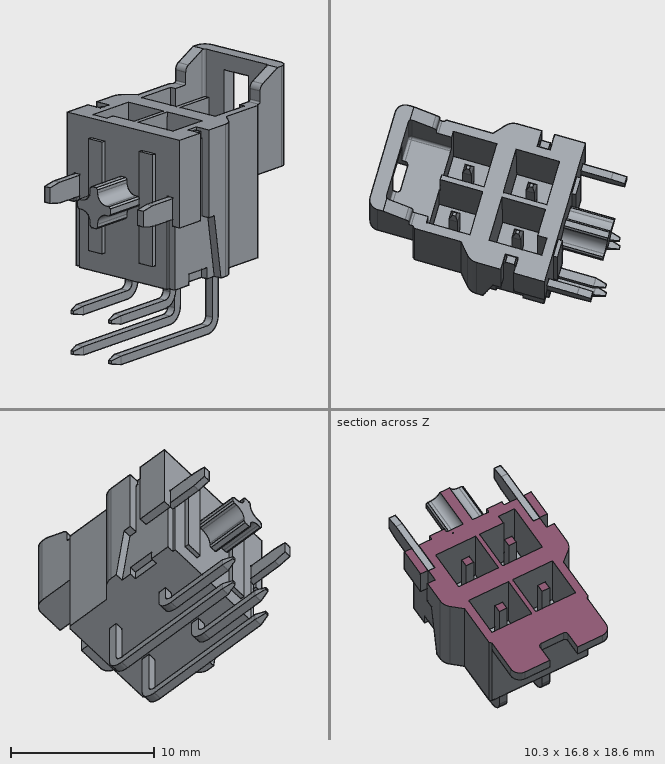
import cadquery as cq


BODY_HEIGHT = 11.16
BODY_DEPTH = 9.95
FRONT_WIDTH = 10.3
FRONT_HALF_WIDTH = FRONT_WIDTH / 2
REAR_HALF_WIDTH = 4.02
SHOULDER_FRONT = 5.42
SHOULDER_REAR = 6.4
SHOULDER_RADIUS = 1.02

LATCH_HALF_WIDTH = 3.88
LATCH_BACK = 13.28
LATCH_BOTTOM = 6.02
LATCH_TOP = 13.35
LATCH_CORNER_RADIUS = 0.75
LATCH_FLAT_FRONT = 12.13
LATCH_SIDE_FRONT = 10.23
LATCH_SIDE_TOP = 12.4
LATCH_SIDE_RADIUS = 0.52
LATCH_FOOT_RADIUS = 0.15
POCKET_HALF_WIDTH = 2.95
POCKET_FRONT = 9.04
POCKET_BACK = 12.2
POCKET_FLOOR = 7.28
POCKET_RADIUS = 0.22
WINDOW_HALF_WIDTH = 1.12
WINDOW_FRONT = 11.72
WINDOW_TOP = 12.17
WINDOW_RADIUS = 0.22

CAVITY_INNER = 0.177
CAVITY_WIDTH = 3.2
CAVITY_DEPTH = 3.17
CAVITY_FLOOR = 2.24
FRONT_ROW_Y = 1.38
REAR_ROW_Y = 5.95
FRONT_ROW_LEAN = 0.05
KEY_WIDTH = 1.27
KEY_DEPTH = 0.67

PIN_SIZE = 0.63
PIN_TIP_SIZE = 0.25
PIN_TAPER = 0.82
PIN_X = 1.73
PIN_TIP_Y = -3.48
PIN_TOP = 8.38
PIN_BEND_RADIUS = 0.5
PIN_ROWS = ((2.95, -2.0), (7.55, -4.95))

CLIP_INNER = 4.0
CLIP_THICKNESS = 0.52
CLIP_FRONT = 0.22
RECESS_TOP = 4.73
RECESS_BACK_TOP = 3.76
RECESS_BACK_BASE = 4.49
SLOT_FRONT = 2.25
SLOT_BACK = 3.19
CLIP_SHOULDER = 10.53
CLIP_SHOULDER_DROP = 0.11
CLIP_TOP = 10.97
CLIP_TIP_INSET = 0.13
TAIL_BOTTOM = 5.24
TAIL_TOP = 6.76
TAIL_END = -3.19
TAIL_TAPER_LENGTH = 0.99
TAIL_TOP_TAPER = 0.17
TAIL_BOTTOM_TAPER = 0.2
SLIT_CLEARANCE = 0.07
CLIP_NOTCH_FRONT = 1.75
CLIP_NOTCH_BACK = 3.7
CLIP_NOTCH_HEIGHT = 0.82

RIB_INNER = 1.7
RIB_WIDTH = 1.25
RIB_BASE = 1.53
RIB_HEIGHT = 8.2
RIB_DEPTH = 0.3
POST_Z = 5.95
POST_LENGTH = 3.19
POST_REACH = 1.5
POST_ARM_WIDTH = 0.69
POST_RADIUS = 0.8
POST_TIP_CHAMFER = 0.13


def block(x_range, y_range, z_range):
    """Box between two limits along each axis."""
    sizes = [end - start for start, end in (x_range, y_range, z_range)]
    corner = (x_range[0], y_range[0], z_range[0])
    return cq.Workplane("XY").box(*sizes, centered=False).translate(corner)


def side_profile(points, x_start, thickness):
    """Plate cut to a (Y, Z) outline, running from x_start toward +X."""
    return cq.Workplane("YZ").workplane(offset=x_start).polyline(points).close().extrude(thickness)


def both_sides(shape):
    """The shape together with its mirror image across the centre plane."""
    return shape.union(shape.mirror("YZ"))


def housing():
    rear_chamfer = REAR_HALF_WIDTH - LATCH_HALF_WIDTH
    half_outline = [
        (0, 0),
        (FRONT_HALF_WIDTH, 0),
        (FRONT_HALF_WIDTH, SHOULDER_FRONT),
        (REAR_HALF_WIDTH, SHOULDER_REAR),
        (REAR_HALF_WIDTH, BODY_DEPTH - rear_chamfer),
        (LATCH_HALF_WIDTH, BODY_DEPTH),
        (0, BODY_DEPTH),
    ]
    half = cq.Workplane("XY").polyline(half_outline).close().extrude(BODY_HEIGHT)
    shoulder = cq.selectors.NearestToPointSelector((FRONT_HALF_WIDTH, SHOULDER_FRONT, BODY_HEIGHT / 2))
    return both_sides(half.edges(shoulder).fillet(SHOULDER_RADIUS))


def latch_frame():
    outline = [
        (POCKET_FRONT, LATCH_BOTTOM),
        (LATCH_BACK, LATCH_BOTTOM),
        (LATCH_BACK, LATCH_TOP),
        (LATCH_FLAT_FRONT, LATCH_TOP),
        (LATCH_SIDE_FRONT, LATCH_SIDE_TOP),
        (LATCH_SIDE_FRONT, BODY_HEIGHT),
        (POCKET_FRONT, BODY_HEIGHT),
    ]
    frame = side_profile(outline, -LATCH_HALF_WIDTH, 2 * LATCH_HALF_WIDTH)
    side_edge = cq.selectors.NearestToPointSelector((0, LATCH_SIDE_FRONT, LATCH_SIDE_TOP))
    foot_edge = cq.selectors.NearestToPointSelector((0, LATCH_SIDE_FRONT, BODY_HEIGHT))
    frame = frame.edges(side_edge).fillet(LATCH_SIDE_RADIUS)
    frame = frame.edges(foot_edge).fillet(LATCH_FOOT_RADIUS)
    return frame.edges("|Z and >Y").fillet(LATCH_CORNER_RADIUS)


def latch_pocket():
    pocket = block(
        (-POCKET_HALF_WIDTH, POCKET_HALF_WIDTH),
        (POCKET_FRONT, POCKET_BACK),
        (POCKET_FLOOR, LATCH_TOP),
    )
    pocket = pocket.edges("(|Z and >Y) or (|X and >Y and <Z) or (|Y and <Z)").fillet(POCKET_RADIUS)
    window = block(
        (-WINDOW_HALF_WIDTH, WINDOW_HALF_WIDTH),
        (WINDOW_FRONT, LATCH_BACK),
        (LATCH_BOTTOM, WINDOW_TOP),
    )
    return pocket.union(window.edges("|Z and <Y").fillet(WINDOW_RADIUS))


def cavity_row(front, rear_lean):
    """Pair of blind cavities; the rear wall leans outward by rear_lean from floor to mouth."""
    rear = front + CAVITY_DEPTH
    outline = [
        (front, CAVITY_FLOOR),
        (rear - rear_lean, CAVITY_FLOOR),
        (rear, BODY_HEIGHT),
        (front, BODY_HEIGHT),
    ]
    return both_sides(side_profile(outline, CAVITY_INNER, CAVITY_WIDTH))


def cavities():
    key_left = -CAVITY_INNER - CAVITY_WIDTH
    key = block(
        (key_left, key_left + KEY_WIDTH),
        (FRONT_ROW_Y - KEY_DEPTH, FRONT_ROW_Y),
        (CAVITY_FLOOR, BODY_HEIGHT),
    )
    return cavity_row(FRONT_ROW_Y, FRONT_ROW_LEAN).union(key).union(cavity_row(REAR_ROW_Y, 0))


def pin_point(direction, start):
    """Tapered end of a pin, growing from the start point along the given direction."""
    return (
        cq.Workplane(cq.Plane(start, normal=direction, xDir=(1, 0, 0)))
        .rect(PIN_SIZE, PIN_SIZE)
        .workplane(offset=PIN_TAPER)
        .rect(PIN_TIP_SIZE, PIN_TIP_SIZE)
        .loft()
    )


def pin(leg_y, tail_z):
    """Right-angle pin on the centre plane: upright leg in the cavity, tail toward the board."""
    half = PIN_SIZE / 2
    leg_top = PIN_TOP - PIN_TAPER
    tail_end = PIN_TIP_Y + PIN_TAPER
    outline = [
        (leg_y - half, leg_top),
        (leg_y + half, leg_top),
        (leg_y + half, tail_z - half),
        (tail_end, tail_z - half),
        (tail_end, tail_z + half),
        (leg_y - half, tail_z + half),
    ]
    inner_bend = cq.selectors.NearestToPointSelector((0, leg_y - half, tail_z + half))
    outer_bend = cq.selectors.NearestToPointSelector((0, leg_y + half, tail_z - half))
    wire = side_profile(outline, -half, PIN_SIZE)
    wire = wire.edges(inner_bend).fillet(PIN_BEND_RADIUS)
    wire = wire.edges(outer_bend).fillet(PIN_BEND_RADIUS + PIN_SIZE)
    wire = wire.union(pin_point((0, 0, 1), (0, leg_y, leg_top)))
    return wire.union(pin_point((0, -1, 0), (0, tail_end, tail_z)))


def clip_recess():
    """Side slot for one clip: open to the side at the base and along the upright, slit to the front."""
    width = FRONT_HALF_WIDTH - CLIP_INNER
    base_outline = [
        (0, 0),
        (RECESS_BACK_BASE, 0),
        (RECESS_BACK_TOP, RECESS_TOP),
        (0, RECESS_TOP),
    ]
    base = side_profile(base_outline, CLIP_INNER, width)
    upright = block((CLIP_INNER, FRONT_HALF_WIDTH), (SLOT_FRONT, SLOT_BACK), (0, BODY_HEIGHT))
    slit_height = TAIL_TOP + SLIT_CLEARANCE
    slit = block((CLIP_INNER, CLIP_INNER + CLIP_THICKNESS), (0, SLOT_BACK), (0, slit_height))
    return base.union(upright).union(slit)


def clip():
    """Flat metal clip: wide foot, upright barb and a tapered tail through the board."""
    taper_start = TAIL_END + TAIL_TAPER_LENGTH
    outline = [
        (CLIP_FRONT, 0),
        (CLIP_NOTCH_FRONT, 0),
        (CLIP_NOTCH_FRONT, CLIP_NOTCH_HEIGHT),
        (CLIP_NOTCH_BACK, CLIP_NOTCH_HEIGHT),
        (CLIP_NOTCH_BACK, 0),
        (RECESS_BACK_BASE, 0),
        (RECESS_BACK_TOP, RECESS_TOP),
        (SLOT_BACK, RECESS_TOP),
        (SLOT_BACK, CLIP_SHOULDER - CLIP_SHOULDER_DROP),
        (SLOT_BACK - CLIP_TIP_INSET, CLIP_SHOULDER),
        (SLOT_BACK - CLIP_TIP_INSET, CLIP_TOP),
        (SLOT_FRONT + CLIP_TIP_INSET, CLIP_TOP),
        (SLOT_FRONT + CLIP_TIP_INSET, CLIP_SHOULDER),
        (SLOT_FRONT, CLIP_SHOULDER - CLIP_SHOULDER_DROP),
        (SLOT_FRONT, TAIL_TOP),
        (taper_start, TAIL_TOP),
        (TAIL_END, TAIL_TOP - TAIL_TOP_TAPER),
        (TAIL_END, TAIL_BOTTOM + TAIL_BOTTOM_TAPER),
        (taper_start, TAIL_BOTTOM),
        (CLIP_FRONT, TAIL_BOTTOM),
    ]
    return side_profile(outline, CLIP_INNER, CLIP_THICKNESS)


def rib():
    return block((RIB_INNER, RIB_INNER + RIB_WIDTH), (-RIB_DEPTH, 0), (RIB_BASE, RIB_BASE + RIB_HEIGHT))


def locating_post():
    """Cross-shaped post with chamfered arm tips and rounded hollows between the arms."""
    arm = cq.Workplane("XZ").rect(2 * POST_REACH, POST_ARM_WIDTH).extrude(POST_LENGTH)
    arm = arm.edges("|Y").chamfer(POST_TIP_CHAMFER)
    cross = arm.union(arm.rotate((0, 0, 0), (0, 1, 0), 90))
    inner_corners = cq.selectors.BoxSelector(
        (-POST_ARM_WIDTH, -POST_LENGTH, -POST_ARM_WIDTH),
        (POST_ARM_WIDTH, 0, POST_ARM_WIDTH),
    )
    cross = cross.edges("|Y").edges(inner_corners).fillet(POST_RADIUS)
    return cross.translate((0, 0, POST_Z))


result = (
    housing()
    .union(latch_frame())
    .cut(latch_pocket())
    .cut(cavities())
    .cut(both_sides(clip_recess()))
    .union(both_sides(clip()))
    .union(both_sides(rib()))
    .union(locating_post())
)
for leg_y, tail_z in PIN_ROWS:
    for side in (-1, 1):
        result = result.union(pin(leg_y, tail_z).translate((side * PIN_X, 0, 0)))